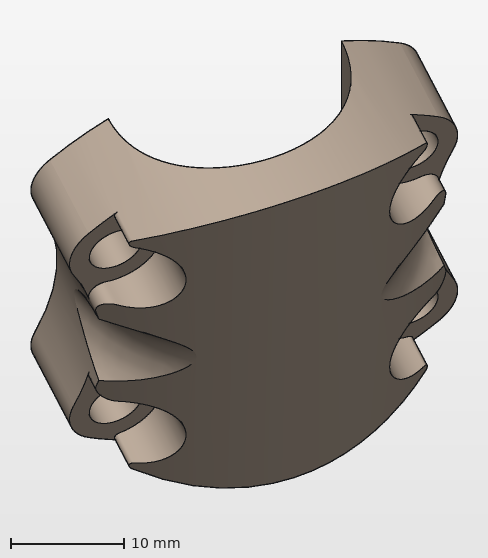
import cadquery as cq
import math

height = 40.65
thickness = 16.17
bore_radius = 11.15
back_radius = 27.45

hole_y = 14.15
hole_z = 11.35
hole_radius = 2.5
corner_radius = 37.1 / 2 - hole_y
waist_half_width = 16.05

seat_x = 8.85
seat_radius = corner_radius
end_lip_radius = 0.5
waist_lip_radius = 1.4

groove_radius = 5.0
groove_floor_radius = 16.35
groove_axis_x = 0.98

margin = 8.13
half_height = height / 2

end_drop = half_height - hole_z
end_radius = (hole_y**2 + end_drop**2 - corner_radius**2) / (2 * (end_drop - corner_radius))
end_center = (0, half_height - end_radius)

waist_offset = hole_y - waist_half_width
waist_radius = (waist_offset**2 + hole_z**2 - corner_radius**2) / (2 * (corner_radius + waist_offset))
waist_center = (waist_half_width + waist_radius, 0)
hole_center = (hole_y, hole_z)


def toward(start, target, distance):
    """Point at a distance from start in the direction of target."""
    span = math.dist(start, target)
    return tuple(s + (t - s) * distance / span for s, t in zip(start, target))


def circle_crossing(center_a, radius_a, center_b, radius_b):
    """Crossing of two circles lying to the left of the direction from a to b."""
    span = math.dist(center_a, center_b)
    along = (radius_a**2 - radius_b**2 + span**2) / (2 * span)
    across = math.sqrt(radius_a**2 - along**2)
    foot = toward(center_a, center_b, along)
    unit = ((center_b[0] - center_a[0]) / span, (center_b[1] - center_a[1]) / span)
    return (foot[0] - across * unit[1], foot[1] + across * unit[0])


def mirrored_copies(body):
    """The body together with its mirror image in Z."""
    return body.union(body.mirror("XY"))


def make_outline():
    end_y, end_z = toward(end_center, hole_center, end_radius)
    waist_y, waist_z = toward(waist_center, hole_center, waist_radius)
    tip_y, tip_z = hole_y + corner_radius, hole_z
    return (
        cq.Workplane("YZ")
        .moveTo(-end_y, end_z)
        .threePointArc((0, half_height), (end_y, end_z))
        .threePointArc((tip_y, tip_z), (waist_y, waist_z))
        .threePointArc((waist_half_width, 0), (waist_y, -waist_z))
        .threePointArc((tip_y, -tip_z), (end_y, -end_z))
        .threePointArc((0, -half_height), (-end_y, -end_z))
        .threePointArc((-tip_y, -tip_z), (-waist_y, -waist_z))
        .threePointArc((-waist_half_width, 0), (-waist_y, waist_z))
        .threePointArc((-tip_y, tip_z), (-end_y, end_z))
        .close()
        .extrude(thickness)
    )


def make_shell():
    back = (
        cq.Workplane("XY")
        .center(thickness - back_radius, 0)
        .circle(back_radius)
        .extrude(half_height, both=True)
    )
    bore = cq.Workplane("XY").circle(bore_radius).extrude(half_height, both=True)
    return make_outline().intersect(back).cut(bore)


def make_seat():
    """Clearance around the upper screw on the +Y side, with rounded lips."""
    end_lip = circle_crossing(
        end_center, end_radius - end_lip_radius, hole_center, seat_radius + end_lip_radius
    )
    waist_lip = circle_crossing(
        waist_center, waist_radius + waist_lip_radius, hole_center, seat_radius + waist_lip_radius
    )
    end_start = toward(end_center, end_lip, end_radius)
    end_touch = toward(end_lip, hole_center, end_lip_radius)
    waist_touch = toward(waist_lip, hole_center, waist_lip_radius)
    waist_end = toward(waist_lip, waist_center, waist_lip_radius)
    tangency_end = toward(end_center, hole_center, end_radius)
    tangency_waist = toward(waist_center, hole_center, waist_radius)
    outer_y = hole_y + corner_radius + margin
    return (
        cq.Workplane("YZ", origin=(seat_x, 0, 0))
        .moveTo(*end_start)
        .threePointArc(toward(end_lip, tangency_end, end_lip_radius), end_touch)
        .threePointArc((hole_y - seat_radius, hole_z), waist_touch)
        .threePointArc(toward(waist_lip, tangency_waist, waist_lip_radius), waist_end)
        .lineTo(outer_y, waist_end[1])
        .lineTo(outer_y, half_height)
        .lineTo(end_start[0], half_height)
        .close()
        .extrude(thickness)
    )


def make_groove():
    """Ring whose inner half cuts the groove across both sides."""
    ring_radius = groove_floor_radius + groove_radius
    axis = cq.Vector(0, 0, 1)
    return cq.Workplane(
        cq.Solid.makeTorus(ring_radius, groove_radius, cq.Vector(groove_axis_x, 0, 0), axis)
    )


holes = (
    cq.Workplane("YZ")
    .rect(2 * hole_y, 2 * hole_z, forConstruction=True)
    .vertices()
    .circle(hole_radius)
    .extrude(thickness)
)
seats = mirrored_copies(make_seat())
result = make_shell().cut(holes).cut(seats).cut(seats.mirror("XZ")).cut(make_groove())